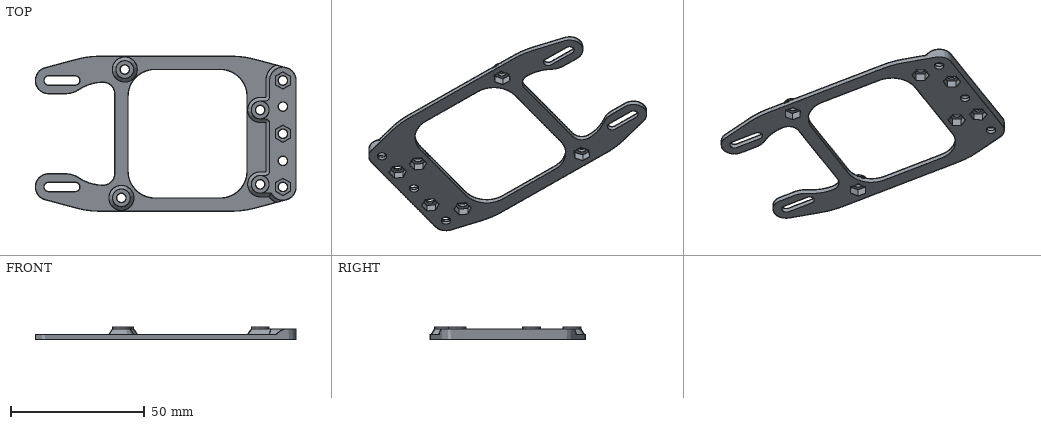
import cadquery as cq
import math

length = 98.0
width = 58.3
plate_thickness = 2.0
block_height = 4.0
boss_height = 4.8

corner_radius = 5.0
taper_angle = math.radians(15)
taper_blend_radius = 32.3
lug_x = length / 2 - corner_radius
lug_y = 20.0

bar_left_x = -19.2
bar_width = 5.1
notch_half_width = lug_y - corner_radius
notch_peak_y = 19.3
notch_corner_radius = notch_peak_y - notch_half_width
notch_peak_x = bar_left_x - notch_corner_radius
arm_bend_x = -37.6
arm_bend_radius = 8.8

window_left_x = bar_left_x + bar_width
window_right_x = 30.5
window_width = 48.2
window_radius = 10.0

hole_diameter = 3.4
slot_travel = 10.0

boss_diameter = 6.7
flare = 1.4
rear_boss_x = 35.5
plate_bosses = [(-15.4, 24.1), (-16.7, -24.1)]
block_bosses = [(rear_boss_x, 8.9), (rear_boss_x, -19.0)]

block_rise = block_height - plate_thickness
block_edge_x = lug_x - corner_radius
block_inner_radius = 1.7
slope_angle = math.degrees(math.atan2(flare, block_rise))

top_nut_holes = [(lug_x, y) for y in (-lug_y, 0, lug_y)]
bottom_nut_y = 10.2
bottom_nut_holes = [(lug_x, y) for y in (-bottom_nut_y, bottom_nut_y)]
hex_diameter = 6.5
top_socket_depth = 2.5
block_socket_depth = 3.0
boss_socket_depth = 3.2


def make_disc(x, y, diameter, height):
    return cq.Workplane("XY").center(x, y).circle(diameter / 2).extrude(height)


def make_outline():
    """Plate outline at block height, with tapered ends and rounded corners, without openings."""
    half_length = length / 2
    half_width = width / 2
    tangent_x = lug_x + corner_radius * math.sin(taper_angle)
    tangent_y = lug_y + corner_radius * math.cos(taper_angle)
    slope = math.tan(taper_angle)
    shoulder_x = tangent_x - (half_width - tangent_y) / slope
    end_y = tangent_y - (half_length - tangent_x) * slope
    right_top = [(half_length, end_y), (shoulder_x, half_width)]
    top = right_top + [(-x, y) for x, y in reversed(right_top)]
    bottom = [(-x, -y) for x, y in top]
    blank = cq.Workplane("XY").polyline(top + bottom).close().extrude(block_height)
    blank = blank.edges("|Z").edges("<X or >X").fillet(corner_radius)
    return blank.edges("|Z").edges("<Y or >Y").fillet(taper_blend_radius)


def make_notch():
    """Opening between the arms: S-shaped sides that end in round inner corners."""
    run = notch_peak_x - arm_bend_x
    rise = notch_peak_y - notch_half_width
    radius_sum = (run**2 + rise**2) / (2 * rise)
    bend_angle = math.asin(run / radius_sum)
    flank_radius = radius_sum - arm_bend_radius

    def bend_point(angle):
        x = arm_bend_x + arm_bend_radius * math.sin(angle)
        return x, notch_half_width + arm_bend_radius * (1 - math.cos(angle))

    def flank_point(angle):
        x = notch_peak_x - flank_radius * math.sin(angle)
        return x, notch_peak_y - flank_radius * (1 - math.cos(angle))

    upper_half = (
        cq.Workplane("XY")
        .moveTo(-length / 2, 0)
        .lineTo(-length / 2, notch_half_width)
        .lineTo(arm_bend_x, notch_half_width)
        .threePointArc(bend_point(bend_angle / 2), bend_point(bend_angle))
        .threePointArc(flank_point(bend_angle / 2), (notch_peak_x, notch_peak_y))
        .tangentArcPoint((bar_left_x, notch_peak_y - notch_corner_radius), relative=False)
        .lineTo(bar_left_x, 0)
        .close()
        .extrude(plate_thickness)
    )
    return upper_half.union(upper_half.mirror("XZ"))


def make_arm_tip_trim(side):
    """Waste outside the round inner corner of one arm tip."""
    waste = cq.Workplane("XY").center(-length / 2 + corner_radius / 2, side * (lug_y - corner_radius / 2))
    waste = waste.rect(corner_radius, corner_radius).extrude(plate_thickness)
    return waste.cut(make_disc(-lug_x, side * lug_y, 2 * corner_radius, plate_thickness))


def make_window():
    window = cq.Workplane("XY").center((window_left_x + window_right_x) / 2, 0)
    window = window.rect(window_right_x - window_left_x, window_width).extrude(plate_thickness)
    return window.edges("|Z").fillet(window_radius)


def make_plate(outline):
    layer = cq.Workplane("XY").rect(length, width).extrude(plate_thickness)
    plate = outline.intersect(layer).cut(make_notch()).cut(make_window())
    for side in (1, -1):
        plate = plate.cut(make_arm_tip_trim(side))
    return plate


def make_block(outline):
    """Raised block: a round-ended strip with a tab to each block boss, sides flaring downward."""
    top = cq.Workplane("XY").center(lug_x, 0)
    top = top.slot2D(2 * (lug_y + corner_radius), 2 * corner_radius, 90).extrude(block_rise)
    tab_length = lug_x - rear_boss_x
    for x, y in block_bosses:
        tab = cq.Workplane("XY").center(x + tab_length / 2, y)
        tab = tab.rect(tab_length, boss_diameter).extrude(block_rise)
        top = top.union(tab).union(make_disc(x, y, boss_diameter, block_rise))

    corner_zone = cq.selectors.BoxSelector(
        (block_edge_x - corner_radius / 4, -lug_y, 0),
        (block_edge_x + corner_radius / 4, lug_y - corner_radius, block_rise),
    )
    top = top.clean().edges("|Z").edges(corner_zone).fillet(block_inner_radius)

    top_wire = top.faces(">Z").wires().translate((0, 0, plate_thickness))
    block = cq.Workplane("XY").workplane(offset=block_height).add(top_wire).toPending()
    return block.extrude(-block_rise, taper=-slope_angle).intersect(outline)


def make_boss(x, y):
    """Short cylinder whose foot flares out to the plate surface."""
    profile = [
        (0, plate_thickness),
        (boss_diameter / 2 + flare, plate_thickness),
        (boss_diameter / 2, block_height),
        (boss_diameter / 2, boss_height),
        (0, boss_height),
    ]
    boss = cq.Workplane("XZ").polyline(profile).close().revolve(360, (0, 0, 0), (0, 1, 0))
    return boss.translate((x, y, 0))


def make_slot(side):
    slot = cq.Workplane("XY").center(-lug_x + slot_travel / 2, side * lug_y)
    return slot.slot2D(slot_travel + hole_diameter, hole_diameter).extrude(plate_thickness)


def make_nut_socket(x, y, bottom, depth, turn):
    """Hexagonal prism; a turn of 0 puts two corners along X, 90 puts them along Y."""
    socket = cq.Workplane("XY").polygon(6, hex_diameter).extrude(depth)
    return socket.rotate((0, 0, 0), (0, 0, 1), turn).translate((x, y, bottom))


outline = make_outline()
result = make_plate(outline).union(make_block(outline))
for x, y in plate_bosses + block_bosses:
    result = result.union(make_boss(x, y))

for x, y in plate_bosses + block_bosses + top_nut_holes + bottom_nut_holes:
    result = result.cut(make_disc(x, y, hole_diameter, boss_height))
for side in (1, -1):
    result = result.cut(make_slot(side))

for x, y in top_nut_holes:
    result = result.cut(make_nut_socket(x, y, block_height - top_socket_depth, top_socket_depth, 90))
for x, y in bottom_nut_holes:
    result = result.cut(make_nut_socket(x, y, 0, block_socket_depth, 90))
for x, y in block_bosses:
    result = result.cut(make_nut_socket(x, y, 0, boss_socket_depth, 90))
for x, y in plate_bosses:
    result = result.cut(make_nut_socket(x, y, 0, boss_socket_depth, 0))